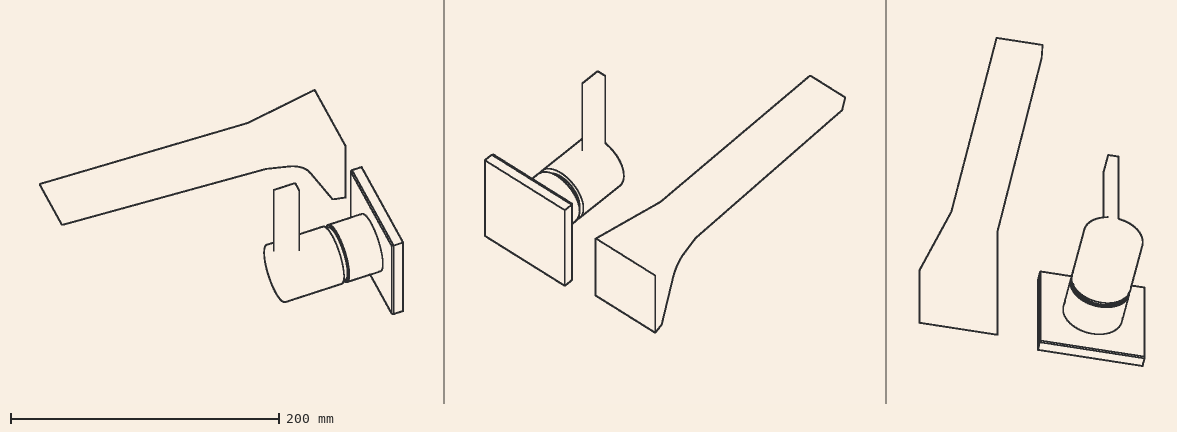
import cadquery as cq


PLATE_SIDE = 79.7
PLATE_THICKNESS = 9.0
PLATE_CHAMFER_DEPTH = 1.4
PLATE_CHAMFER_INSET = 0.5

BARREL_DIAMETER = 45.0
SLEEVE_END = 37.0
SLEEVE_CHAMFER = 0.7
NECK_BASE_DIAMETER = 41.0
NECK_TIP_DIAMETER = 37.5

LEVER_ROOT_ROUND = 1.0
HANDLE_START = 40.5
HANDLE_END = 86.5
ROOT_SEARCH_MARGIN = 2.3
LEVER_WIDTH = 8.2
LEVER_DEPTH = 17.8
HANDLE_EDGE_ROUND = 0.7
LEVER_TOP = 93.1

SPOUT_CENTER_X = -100.2
SPOUT_EDGE_ROUND = 0.7
SPOUT_REACH = 228.0
SPOUT_ROOT_WIDTH = 59.7
SPOUT_WIDTH = 35.3
SPOUT_TAPER_LENGTH = 59.2
SPOUT_ROOT_TOP = 30.5
SPOUT_ROOT_BOTTOM = -29.8
SPOUT_ROOT_FOOT = 9.5
SPOUT_TIP_TOP = 40.5
SPOUT_TIP_BOTTOM = 29.1
SPOUT_TIP_SETBACK = 3.6
SPOUT_BEND_REACH = 31.2
SPOUT_BEND_HEIGHT = 15.5
SPOUT_BEND_RADIUS = 19.4


def cylinder_from_wall(diameter, start, end):
    """Cylinder on the handle axis between two distances from the wall."""
    return (
        cq.Workplane("XZ", origin=(0, -start, 0))
        .circle(diameter / 2)
        .extrude(end - start)
    )


def make_plate():
    plate = cq.Workplane("XZ").rect(PLATE_SIDE, PLATE_SIDE).extrude(PLATE_THICKNESS)
    return plate.faces("<Y").edges().chamfer(PLATE_CHAMFER_DEPTH, PLATE_CHAMFER_INSET)


def make_sleeve():
    sleeve = cylinder_from_wall(BARREL_DIAMETER, PLATE_THICKNESS, SLEEVE_END)
    sleeve = sleeve.faces("<Y").chamfer(SLEEVE_CHAMFER)
    neck = (
        cq.Workplane("XZ", origin=(0, -SLEEVE_END, 0))
        .circle(NECK_BASE_DIAMETER / 2)
        .workplane(offset=HANDLE_START - SLEEVE_END)
        .circle(NECK_TIP_DIAMETER / 2)
        .loft(ruled=True)
    )
    return sleeve.union(neck)


def make_handle():
    barrel = cylinder_from_wall(BARREL_DIAMETER, HANDLE_START, HANDLE_END)
    lever = (
        cq.Workplane("XY")
        .center(0, LEVER_DEPTH / 2 - HANDLE_END)
        .rect(LEVER_WIDTH, LEVER_DEPTH)
        .extrude(LEVER_TOP)
        .edges("|Z and >Y")
        .fillet(HANDLE_EDGE_ROUND)
    )
    handle = barrel.union(lever)
    barrel_radius = BARREL_DIAMETER / 2
    root_edges = cq.selectors.BoxSelector(
        (-LEVER_WIDTH, -HANDLE_END + LEVER_ROOT_ROUND, barrel_radius - ROOT_SEARCH_MARGIN),
        (LEVER_WIDTH, -HANDLE_START - ROOT_SEARCH_MARGIN, barrel_radius + ROOT_SEARCH_MARGIN),
    )
    handle = handle.edges(root_edges).fillet(LEVER_ROOT_ROUND)
    return handle.faces("<Y or >Z").edges().fillet(HANDLE_EDGE_ROUND)


def make_spout():
    half_root = SPOUT_ROOT_WIDTH / 2
    half_width = SPOUT_WIDTH / 2
    side_profile = (
        cq.Workplane("YZ", origin=(SPOUT_CENTER_X, 0, 0))
        .polyline([
            (0, SPOUT_ROOT_BOTTOM),
            (-SPOUT_ROOT_FOOT, SPOUT_ROOT_BOTTOM),
            (-SPOUT_BEND_REACH, SPOUT_BEND_HEIGHT),
            (-SPOUT_REACH + SPOUT_TIP_SETBACK, SPOUT_TIP_BOTTOM),
            (-SPOUT_REACH, SPOUT_TIP_TOP),
            (0, SPOUT_ROOT_TOP),
        ])
        .close()
        .extrude(half_root, both=True)
    )
    bend_edge = cq.selectors.NearestToPointSelector((SPOUT_CENTER_X, -SPOUT_BEND_REACH, SPOUT_BEND_HEIGHT))
    side_profile = side_profile.edges("|X").edges(bend_edge).fillet(SPOUT_BEND_RADIUS)
    plan_outline = (
        cq.Workplane("XY", origin=(SPOUT_CENTER_X, 0, SPOUT_ROOT_BOTTOM))
        .polyline([
            (-half_root, 0),
            (-half_width, -SPOUT_TAPER_LENGTH),
            (-half_width, -SPOUT_REACH),
            (half_width, -SPOUT_REACH),
            (half_width, -SPOUT_TAPER_LENGTH),
            (half_root, 0),
        ])
        .close()
        .extrude(SPOUT_TIP_TOP - SPOUT_ROOT_BOTTOM)
    )
    spout = side_profile.intersect(plan_outline)
    return spout.edges("not(>Y)").edges("not(|Z)").fillet(SPOUT_EDGE_ROUND)


plate = make_plate()
sleeve = make_sleeve()
handle = make_handle()
spout = make_spout()

result = cq.Compound.makeCompound([plate.val(), sleeve.val(), handle.val(), spout.val()])